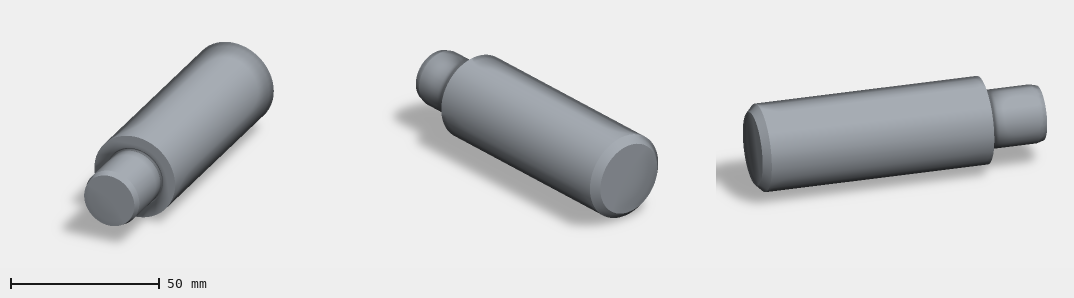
import cadquery as cq
import math

total_length = 100.0
body_diameter = 30.0
body_chamfer = 2.5
pin_diameter = 20.0
pin_length = 20.0

lead_length = 2.5
lead_angle = 15.0

relief_floor_diameter = 19.4
relief_mouth_diameter = 21.0
relief_width = 0.9
relief_corner_radius = 0.5
relief_face_depth = 0.2

body_radius = body_diameter / 2
pin_radius = pin_diameter / 2
lead_radius = pin_radius - lead_length * math.tan(math.radians(lead_angle))
body_length = total_length - pin_length
relief_floor_radius = relief_floor_diameter / 2
relief_mouth_radius = relief_mouth_diameter / 2

corner_center_radius = relief_floor_radius + relief_corner_radius
corner_center_y = relief_face_depth - relief_corner_radius
corner_diagonal = relief_corner_radius * math.sqrt(0.5)
corner_middle = (corner_center_radius - corner_diagonal, corner_center_y + corner_diagonal)
corner_end = (corner_center_radius, relief_face_depth)

half_section = (
    cq.Workplane("XY")
    .moveTo(0, -pin_length)
    .lineTo(lead_radius, -pin_length)
    .lineTo(pin_radius, lead_length - pin_length)
    .lineTo(pin_radius, -relief_width)
    .lineTo(relief_floor_radius, corner_center_y)
    .threePointArc(corner_middle, corner_end)
    .lineTo(relief_mouth_radius, 0)
    .lineTo(body_radius, 0)
    .lineTo(body_radius, body_length - body_chamfer)
    .lineTo(body_radius - body_chamfer, body_length)
    .lineTo(0, body_length)
    .close()
)

result = half_section.revolve(360, (0, 0, 0), (0, 1, 0))